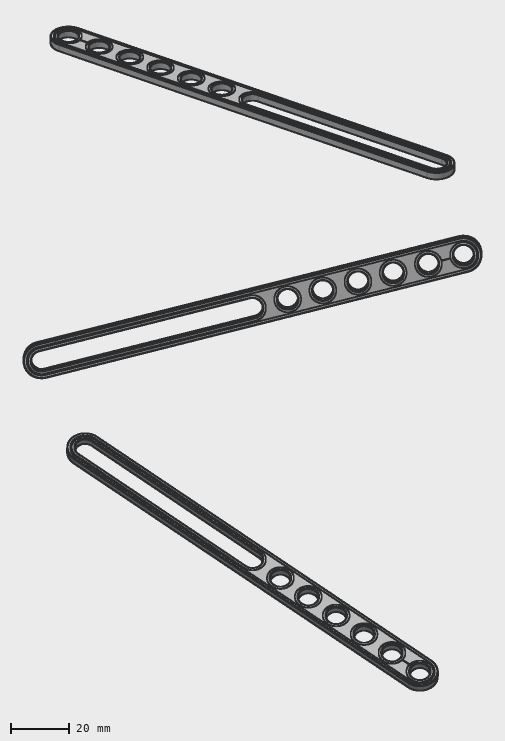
import cadquery as cq

length = 162.5
pitch_count = 13
hole_diameter = 7.0
hole_count = 6
rim_diameter = 9.3
recess_depth = 0.2
edge_bevel = 0.3
rib_width = 0.2

pitch = length / pitch_count
thickness = pitch / 4
rim_width = (rim_diameter - hole_diameter) / 2
first_hole_x = (pitch - length) / 2
hole_centers = [(first_hole_x + i * pitch, 0) for i in range(hole_count)]
slot_start_x = first_hole_x + hole_count * pitch
slot_end_x = -first_hole_x
slot_center_x = (slot_start_x + slot_end_x) / 2
slot_travel = slot_end_x - slot_start_x


def bar(inset):
    """Round-ended bar centred on Z = 0, pulled in by inset all around."""
    outline = cq.Workplane("XY").slot2D(length - 2 * inset, pitch - 2 * inset)
    return outline.extrude(thickness / 2, both=True)


def openings(diameter):
    """Row of round holes plus the long slot, all of the same width."""
    holes = cq.Workplane("XY").pushPoints(hole_centers).circle(diameter / 2)
    slot = cq.Workplane("XY").center(slot_center_x, 0).slot2D(slot_travel + diameter, diameter)
    return holes.extrude(thickness / 2, both=True).union(slot.extrude(thickness / 2, both=True))


def rib():
    """Thin rib between the first two holes, running into their rims."""
    outline = cq.Workplane("XY").center(first_hole_x + pitch / 2, 0).rect(pitch - hole_diameter, rib_width)
    return outline.extrude(thickness / 2, both=True)


def recesses():
    """Sunken floor around the rims and the rib, on the top and bottom faces."""
    core_thickness = thickness - 2 * recess_depth
    core = cq.Workplane("XY").box(length, pitch, core_thickness)
    return bar(rim_width).cut(openings(rim_diameter)).cut(rib()).cut(core)


plate = bar(0).cut(openings(hole_diameter))
plate = plate.faces("<Z or >Z").edges().chamfer(edge_bevel)
result = plate.cut(recesses())